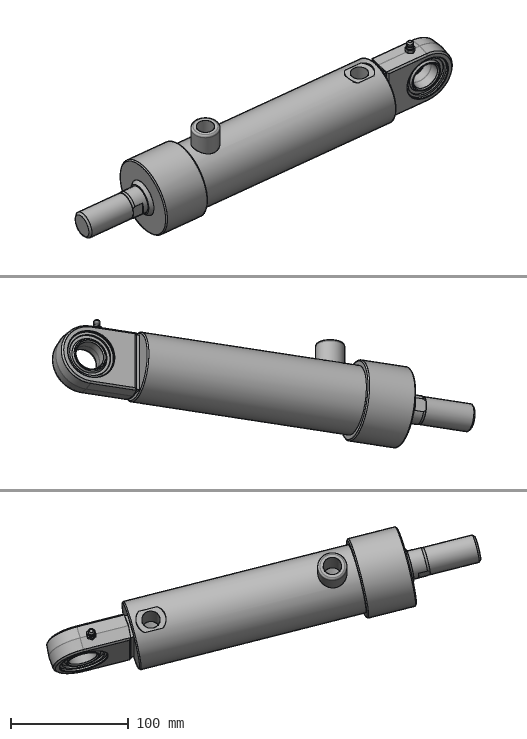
import cadquery as cq
import math


overall_length = 377.5
overall_height = 83

barrel_diameter = 60.0
barrel_end_y = -44.5
barrel_chamfer = 1.0
head_diameter = 70.0
head_start_y = -243.5
head_length = 43.5
head_chamfer = 1.0
head_face_y = head_start_y - head_length

wiper_base_diameter = 33.0
wiper_tip_diameter = 27.5
wiper_length = 3.5
wiper_tip_y = head_face_y - wiper_length

port_diameter = 15.5
port_depth = 26.5
drill_point_angle = 118
rear_port_y = -62.3
spot_face_diameter = 25.5
spot_face_z = 28.5
front_port_y = -222.0
boss_diameter = 25.0
boss_top_z = overall_height - head_diameter / 2
boss_fillet = 2.0

eye_diameter = 55.0
eye_width = 24.0
eye_draft_angle = 5
eye_chamfer = 1.5
eye_base_y = -42.5
neck_width = 20.5
neck_height = 50.5

bearing_diameter = 42.0
seat_mouth_diameter = 43.0
bearing_width = 19.5
ring_recess_diameter = 37.5
ring_width = 16.0
ball_diameter = 35.5
ball_width = 20.0
bore_middle_diameter = 24.0
bore_end_diameter = 25.0
bore_chamfer = 1.0

nipple_y = -10.0
hex_across_flats = 7.5
hex_height = 3.5
hex_root_depth = 0.8
nipple_diameter = 5.5
nipple_neck_diameter = 5.0
nipple_tip_diameter = 3.0
shank_height = 2.3
groove_height = 1.5
nipple_height = 10.2
tip_height = 1.5

rod_diameter = 25.0
rod_end_y = eye_diameter / 2 - overall_length
rod_chamfer = 2.0
spigot_diameter = 24.0
spigot_start_y = -305.0
relief_diameter = 23.5
relief_length = 2.3
flats_start_y = -295.0
flats_across = 22.0


def cylinder_y(diameter, start_y, end_y):
    """Cylinder on the Y axis from start_y down to end_y."""
    return cq.Workplane("XZ", origin=(0, start_y, 0)).circle(diameter / 2).extrude(start_y - end_y)


def cylinder_z(diameter, y, bottom_z, top_z):
    """Upright cylinder above the Y axis."""
    return cq.Workplane("XY", origin=(0, y, bottom_z)).circle(diameter / 2).extrude(top_z - bottom_z)


def make_eye():
    """Round-ended eye plate with drafted, chamfered sides, on a narrower neck."""
    radius = eye_diameter / 2
    half_eye = (
        cq.Workplane("YZ")
        .moveTo(eye_base_y, -radius)
        .lineTo(0, -radius)
        .threePointArc((radius, 0), (0, radius))
        .lineTo(eye_base_y, radius)
        .close()
        .extrude(eye_width / 2, taper=eye_draft_angle)
        .faces(">X")
        .chamfer(eye_chamfer)
    )
    neck_start_y = eye_base_y + eye_chamfer
    neck = (
        cq.Workplane("XZ", origin=(0, neck_start_y, 0))
        .rect(neck_width, neck_height)
        .extrude(neck_start_y - barrel_end_y)
    )
    return half_eye.union(half_eye.mirror("YZ")).union(neck)


def bearing_seat():
    """Through bore for the bearing, opened by a 45 degree chamfer at each side of the eye."""
    seat_radius = bearing_diameter / 2
    mouth_radius = seat_mouth_diameter / 2
    half_width = eye_width / 2
    chamfer_start = half_width - (mouth_radius - seat_radius)
    return (
        cq.Workplane("XY")
        .moveTo(-half_width, 0)
        .lineTo(-half_width, mouth_radius)
        .lineTo(-chamfer_start, seat_radius)
        .lineTo(chamfer_start, seat_radius)
        .lineTo(half_width, mouth_radius)
        .lineTo(half_width, 0)
        .close()
        .revolve(360, (0, 0, 0), (1, 0, 0))
    )


def make_nipple():
    """Grease nipple: a hexagon rooted in the eye, with a grooved, tapered head."""
    seat_z = eye_diameter / 2
    shank_z = seat_z + hex_height
    neck_z = shank_z + shank_height
    head_z = neck_z + groove_height
    top_z = seat_z + nipple_height
    hexagon = (
        cq.Workplane("XY", origin=(0, nipple_y, seat_z - hex_root_depth))
        .polygon(6, hex_across_flats / math.cos(math.pi / 6))
        .extrude(hex_root_depth + hex_height)
    )
    head = (
        cq.Workplane("YZ", origin=(0, nipple_y, 0))
        .moveTo(0, shank_z)
        .lineTo(nipple_diameter / 2, shank_z)
        .lineTo(nipple_diameter / 2, neck_z)
        .lineTo(nipple_neck_diameter / 2, neck_z)
        .lineTo(nipple_diameter / 2, head_z)
        .lineTo(nipple_diameter / 2, top_z - tip_height)
        .lineTo(nipple_tip_diameter / 2, top_z)
        .lineTo(0, top_z)
        .close()
        .revolve(360, (0, 0, 0), (0, 1, 0))
    )
    return hexagon.union(head)


def port_hole(y, mouth_z):
    """Blind port drilled down from mouth_z, with a conical drill point."""
    radius = port_diameter / 2
    shoulder_z = mouth_z - port_depth
    point_z = shoulder_z - radius / math.tan(math.radians(drill_point_angle / 2))
    return (
        cq.Workplane("XZ", origin=(0, y, 0))
        .moveTo(0, mouth_z)
        .lineTo(radius, mouth_z)
        .lineTo(radius, shoulder_z)
        .lineTo(0, point_z)
        .close()
        .revolve(360, (0, 0, 0), (0, 1, 0))
    )


def make_housing():
    """Barrel with head, wiper cone, ports, mounting eye and grease nipple."""
    barrel = cylinder_y(barrel_diameter, barrel_end_y, head_start_y).faces(">Y").chamfer(barrel_chamfer)
    head = cylinder_y(head_diameter, head_start_y, head_face_y).faces("<Y or >Y").chamfer(head_chamfer)
    wiper = cq.Workplane(
        cq.Solid.makeCone(
            wiper_base_diameter / 2,
            wiper_tip_diameter / 2,
            wiper_length,
            pnt=cq.Vector(0, head_face_y, 0),
            dir=cq.Vector(0, -1, 0),
        )
    )
    boss = cylinder_z(boss_diameter, front_port_y, 0, boss_top_z).faces(">Z").fillet(boss_fillet)
    spot_face = cylinder_z(spot_face_diameter, rear_port_y, spot_face_z, barrel_diameter / 2)
    rod_bore = cylinder_y(rod_diameter, head_start_y, wiper_tip_y)
    return (
        barrel.union(head)
        .union(wiper)
        .union(boss)
        .union(make_eye())
        .union(make_nipple())
        .cut(bearing_seat())
        .cut(spot_face)
        .cut(port_hole(rear_port_y, spot_face_z))
        .cut(port_hole(front_port_y, boss_top_z))
        .cut(rod_bore)
    )


def make_bearing():
    """Spherical plain bearing on the X axis: recessed ring, ball ends and a slightly waisted bore."""
    outer_radius = bearing_diameter / 2
    recess_radius = ring_recess_diameter / 2
    ball_radius = ball_diameter / 2
    bore_end_radius = bore_end_diameter / 2
    edge_x = bearing_width / 2
    ring_x = ring_width / 2
    ball_x = ball_width / 2
    arc_x = (ring_x + ball_x) / 2

    def ball_point(x):
        return (x, math.sqrt(ball_radius**2 - x**2))

    half_bearing = (
        cq.Workplane("XY")
        .moveTo(0, bore_middle_diameter / 2)
        .lineTo(0, outer_radius)
        .lineTo(edge_x, outer_radius)
        .lineTo(edge_x, recess_radius)
        .lineTo(ring_x, recess_radius)
        .lineTo(*ball_point(ring_x))
        .threePointArc(ball_point(arc_x), ball_point(ball_x))
        .lineTo(ball_x, bore_end_radius + bore_chamfer)
        .lineTo(ball_x - bore_chamfer, bore_end_radius)
        .close()
        .revolve(360, (0, 0, 0), (1, 0, 0))
    )
    return half_bearing.union(half_bearing.mirror("YZ"))


def make_rod():
    """Piston rod with two wrench flats, a tapered relief and a chamfered spigot."""
    rod_radius = rod_diameter / 2
    spigot_radius = spigot_diameter / 2
    rod = (
        cq.Workplane("XY")
        .moveTo(0, head_start_y)
        .lineTo(rod_radius, head_start_y)
        .lineTo(rod_radius, spigot_start_y + relief_length)
        .lineTo(relief_diameter / 2, spigot_start_y)
        .lineTo(spigot_radius, spigot_start_y)
        .lineTo(spigot_radius, rod_end_y + rod_chamfer)
        .lineTo(spigot_radius - rod_chamfer, rod_end_y)
        .lineTo(0, rod_end_y)
        .close()
        .revolve(360, (0, 0, 0), (0, 1, 0))
    )
    flats_length = flats_start_y - spigot_start_y
    flat_depth = (rod_diameter - flats_across) / 2
    for side in (-1, 1):
        flat = cq.Workplane("XY").box(flat_depth, flats_length, rod_diameter).translate(
            (side * (flats_across + flat_depth) / 2, flats_start_y - flats_length / 2, 0)
        )
        rod = rod.cut(flat)
    return rod


housing = make_housing()
bearing = make_bearing()
rod = make_rod()

result = cq.Compound.makeCompound([housing.val(), bearing.val(), rod.val()])